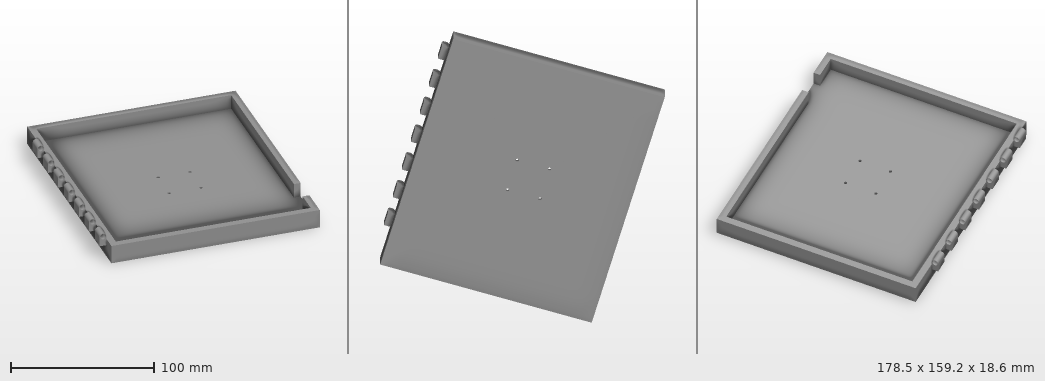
import cadquery as cq

tray_length = 178.5
tray_width = 154.2
tray_height = 14.0
wall = 5.0
floor_thickness = 3.0

gap_start = 48.7
gap_width = 18.4

hole_diameter = 2.3
hole_pitch = 23.5
hole_pattern_x = 2.1
hole_pattern_y = 80.9

knuckle_count = 7
knuckle_pitch = 22.0
knuckle_length = 10.0
knuckle_depth = 5.0
knuckle_bottom = 8.7
first_knuckle_offset = 25.9
pin_diameter = 4.3

knuckle_radius = knuckle_depth / 2
pin_y = -knuckle_radius
pin_z = tray_height + pin_diameter / 2


def make_tray():
    """Open tray: a floor with four walls around it."""
    block = cq.Workplane("XY").box(tray_length, tray_width, tray_height, centered=(True, False, False))
    cavity = (
        cq.Workplane("XY", origin=(0, wall, floor_thickness))
        .box(
            tray_length - 2 * wall,
            tray_width - 2 * wall,
            tray_height - floor_thickness,
            centered=(True, False, False),
        )
    )
    return block.cut(cavity)


def make_gap():
    """Block that opens the back wall down to the floor."""
    return (
        cq.Workplane("XY", origin=(gap_start, tray_width - wall, floor_thickness))
        .box(gap_width, wall, tray_height - floor_thickness, centered=False)
    )


def make_screw_holes():
    """Four cutters on a square pattern, as deep as the floor."""
    return (
        cq.Workplane("XY", origin=(hole_pattern_x, hole_pattern_y, 0))
        .rect(hole_pitch, hole_pitch, forConstruction=True)
        .vertices()
        .circle(hole_diameter / 2)
        .extrude(floor_thickness)
    )


def make_knuckle(start_x):
    """Round-topped hinge knuckle with a pin bore along X."""
    return (
        cq.Workplane("YZ", origin=(start_x, 0, 0))
        .moveTo(0, knuckle_bottom)
        .lineTo(0, pin_z)
        .threePointArc((pin_y, pin_z + knuckle_radius), (-knuckle_depth, pin_z))
        .lineTo(-knuckle_depth, knuckle_bottom)
        .close()
        .moveTo(pin_y, pin_z)
        .circle(pin_diameter / 2)
        .extrude(knuckle_length)
    )


result = make_tray().cut(make_gap()).cut(make_screw_holes())

for index in range(knuckle_count):
    knuckle_x = -tray_length / 2 + first_knuckle_offset + index * knuckle_pitch
    result = result.union(make_knuckle(knuckle_x))